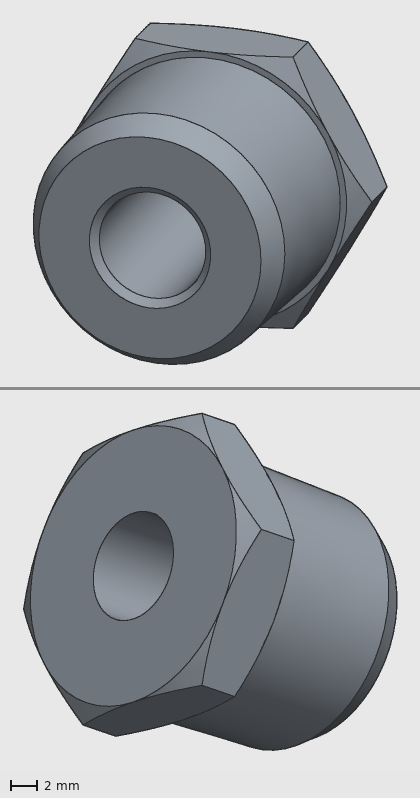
import cadquery as cq
import math

corner_width = 25.4
flat_width = corner_width * math.sqrt(3) / 2
head_length = 5.5
head_chamfer_angle = 30.0

total_length = 19.5
tip_length = 2.1
shank_root_diameter = 20.98
shank_end_diameter = 20.25
tip_diameter = 17.85

bore_diameter = 8.55
countersink_diameter = 9.75
countersink_depth = (countersink_diameter - bore_diameter) / 2

head_start = total_length - head_length


def revolve_about_y(profile):
    """Turn a closed outline of (radius, y) points about the Y axis."""
    return cq.Workplane("XY").polyline(profile).close().revolve(360, (0, 0), (0, 1))


def make_head():
    """Hexagon with corners on the X axis, both ends turned to a cone at the corners."""
    hexagon = (
        cq.Workplane("XZ", origin=(0, total_length, 0))
        .polygon(6, corner_width)
        .extrude(head_length)
    )
    flat_radius = flat_width / 2
    corner_radius = corner_width / 2
    chamfer_length = (corner_radius - flat_radius) * math.tan(math.radians(head_chamfer_angle))
    envelope = revolve_about_y([
        (0, head_start),
        (flat_radius, head_start),
        (corner_radius, head_start + chamfer_length),
        (corner_radius, total_length - chamfer_length),
        (flat_radius, total_length),
        (0, total_length),
    ])
    return hexagon.intersect(envelope)


def make_shank():
    """Tapered shank ending in a steeper cone at the tip."""
    return revolve_about_y([
        (0, 0),
        (tip_diameter / 2, 0),
        (shank_end_diameter / 2, tip_length),
        (shank_root_diameter / 2, head_start),
        (0, head_start),
    ])


def make_bore():
    """Through bore with a 45 degree countersink at the tip."""
    return revolve_about_y([
        (0, 0),
        (countersink_diameter / 2, 0),
        (bore_diameter / 2, countersink_depth),
        (bore_diameter / 2, total_length),
        (0, total_length),
    ])


result = make_head().union(make_shank()).cut(make_bore())